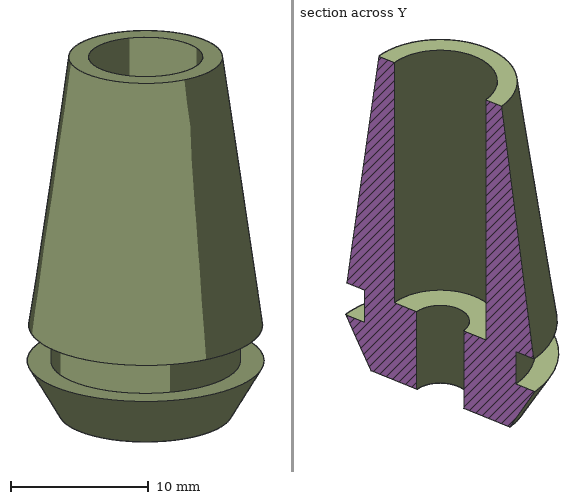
import cadquery as cq
import math

height = 27.5
nose_height = 4.0
groove_width = 2.75
body_base = nose_height + groove_width

nose_diameter = 17.25
nose_angle = 30.0
groove_diameter = 13.8
body_top_diameter = 11.2
body_angle = 8.0

socket_diameter = 8.3
hole_diameter = 4.24
socket_floor = body_base

nose_radius = nose_diameter / 2
nose_tip_radius = nose_radius - nose_height * math.tan(math.radians(nose_angle))
body_top_radius = body_top_diameter / 2
body_base_radius = body_top_radius + (height - body_base) * math.tan(math.radians(body_angle))
groove_radius = groove_diameter / 2
socket_radius = socket_diameter / 2
hole_radius = hole_diameter / 2

half_section = [
    (hole_radius, 0),
    (nose_tip_radius, 0),
    (nose_radius, nose_height),
    (groove_radius, nose_height),
    (groove_radius, body_base),
    (body_base_radius, body_base),
    (body_top_radius, height),
    (socket_radius, height),
    (socket_radius, socket_floor),
    (hole_radius, socket_floor),
]

result = cq.Workplane("XZ").polyline(half_section).close().revolve(360, (0, 0, 0), (0, 1, 0))